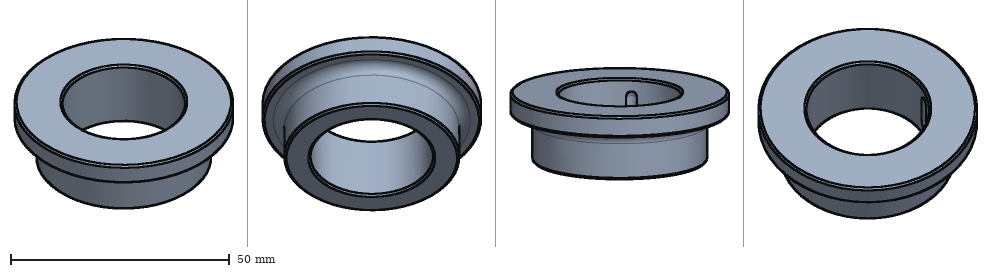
import cadquery as cq

flange_diameter = 50.0
flange_thickness = 5.0
sleeve_diameter = 40.0
bore_diameter = 28.0
total_height = 16.0
edge_chamfer = 0.5
neck_fillet = 2.5
groove_width = 2.5
groove_length = 10.0
groove_depth = 1.0

flange_radius = flange_diameter / 2
sleeve_radius = sleeve_diameter / 2
bore_radius = bore_diameter / 2
flange_bottom = total_height - flange_thickness


def flanged_sleeve():
    """Revolve the section of the sleeve and its flange, from the bottom at Z = 0."""
    section = (
        cq.Workplane("XZ")
        .moveTo(bore_radius + edge_chamfer, 0)
        .lineTo(sleeve_radius - edge_chamfer, 0)
        .lineTo(sleeve_radius, edge_chamfer)
        .lineTo(sleeve_radius, flange_bottom - neck_fillet)
        .radiusArc((sleeve_radius + neck_fillet, flange_bottom), neck_fillet)
        .lineTo(flange_radius - edge_chamfer, flange_bottom)
        .lineTo(flange_radius, flange_bottom + edge_chamfer)
        .lineTo(flange_radius, total_height - edge_chamfer)
        .lineTo(flange_radius - edge_chamfer, total_height)
        .lineTo(bore_radius + edge_chamfer, total_height)
        .lineTo(bore_radius, total_height - edge_chamfer)
        .lineTo(bore_radius, edge_chamfer)
        .close()
    )
    return section.revolve(360, (0, 0, 0), (0, 1, 0))


def ball_ended_groove():
    """Capsule lying along the +X side of the bore wall, centred at half height."""
    groove_radius = groove_width / 2
    half_length = groove_length / 2
    half_straight = half_length - groove_radius
    half_section = (
        cq.Workplane("XZ")
        .moveTo(0, -half_length)
        .radiusArc((groove_radius, -half_straight), -groove_radius)
        .lineTo(groove_radius, half_straight)
        .radiusArc((0, half_length), -groove_radius)
        .close()
    )
    capsule = half_section.revolve(360, (0, 0, 0), (0, 1, 0))
    axis_radius = bore_radius + groove_depth - groove_radius
    return capsule.translate((axis_radius, 0, total_height / 2))


result = flanged_sleeve().cut(ball_ended_groove())